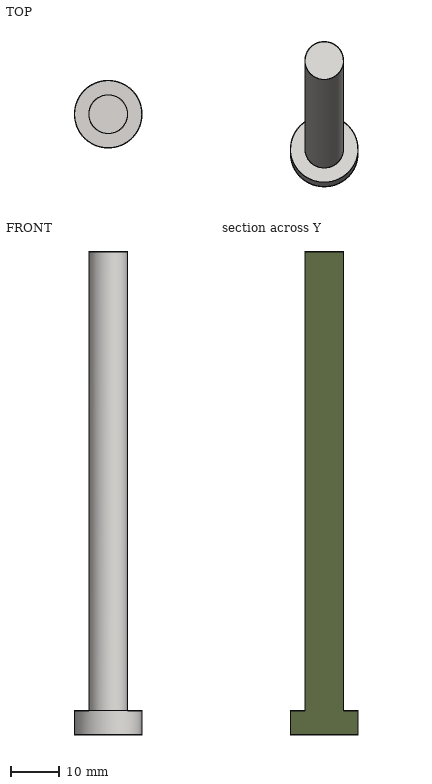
import cadquery as cq

total_length = 100.0
head_diameter = 14.0
head_height = 5.0
shank_diameter = 8.0

head = cq.Workplane("XY").circle(head_diameter / 2).extrude(head_height)

shank = (
    cq.Workplane("XY")
    .workplane(offset=head_height)
    .circle(shank_diameter / 2)
    .extrude(total_length - head_height)
)

result = head.union(shank)